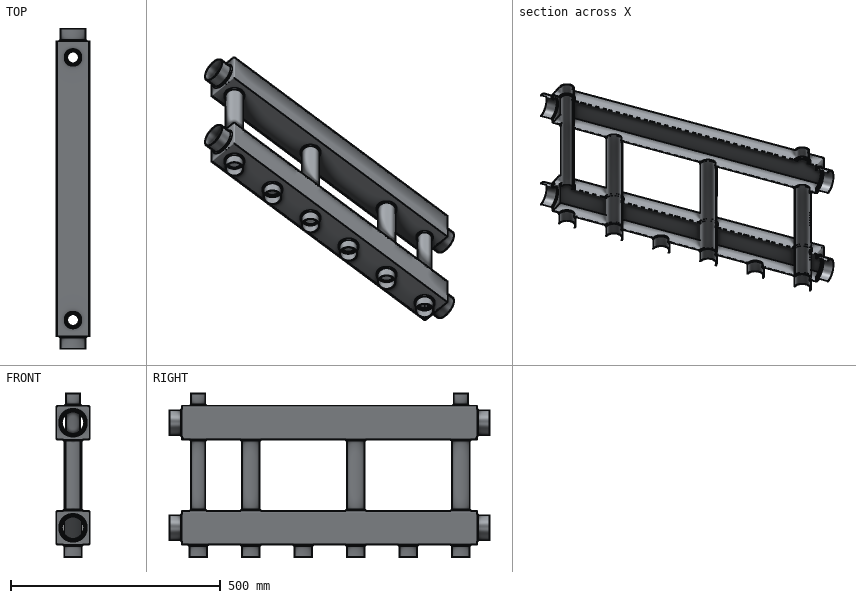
import cadquery as cq
overall_length = 763.0
overall_height = 390.0
header_spacing = 250.0
end_stub_length = 30.0
outlet_pitch = 125.0
outlet_count = 6

header_size = 81.0
long_edge_radius = 4.5
end_edge_radius = 2.0
wall = 3.0

END_PIPE = (60.0, 53.0, 57.0)
OUTLET_PIPE = (43.0, 37.0, 40.0)
INLET_PIPE = (34.0, 27.5, 30.0)

weld_leg = 3.0

header_length = overall_length - 2 * end_stub_length
half_header = header_size / 2
upper_z = header_spacing / 2
lower_z = -upper_z
upper_top = upper_z + half_header
upper_bottom = upper_z - half_header
lower_top = lower_z + half_header
lower_bottom = lower_z - half_header
top_end = overall_height / 2
bottom_end = -top_end

first_outlet_y = outlet_pitch * (outlet_count - 1) / 2
outlet_ys = [first_outlet_y - i * outlet_pitch for i in range(outlet_count)]
riser_ys = outlet_ys[0::2]
direct_ys = outlet_ys[1::2]
short_inlet_y = outlet_ys[0]
crossing_inlet_y = outlet_ys[-1]

UP = cq.Vector(0, 0, 1)
DOWN = cq.Vector(0, 0, -1)
HEADER_FACES = [(upper_top, UP), (upper_bottom, DOWN), (lower_top, UP), (lower_bottom, DOWN)]


def header(z):
    """One hollow header centred at height z."""
    shell = cq.Workplane("XY").box(header_size, header_length, header_size)
    shell = shell.edges("|Y").fillet(long_edge_radius)
    shell = shell.faces("<Y or >Y").fillet(end_edge_radius)
    cavity_width = header_size - 2 * wall
    cavity_length = header_length - 2 * wall
    cavity = cq.Workplane("XY").box(cavity_width, cavity_length, cavity_width)
    return shell.cut(cavity).translate((0, 0, z))


def centre_point(y, z):
    """Point on the plane of symmetry X = 0."""
    return cq.Vector(0, y, z)


def rod(diameter, start, end):
    """Cylinder between two points."""
    axis = end - start
    return cq.Workplane(cq.Solid.makeCylinder(diameter / 2, axis.Length, start, axis))


def weld(diameter, base, direction):
    """Conical bead standing on a header face around a pipe."""
    radius = diameter / 2
    return cq.Workplane(cq.Solid.makeCone(radius + weld_leg, radius, weld_leg, base, direction))


vertical_pipes = []
for y in riser_ys:
    vertical_pipes.append((OUTLET_PIPE, y, upper_bottom + wall, lower_bottom, bottom_end))
for y in direct_ys:
    vertical_pipes.append((OUTLET_PIPE, y, lower_bottom + wall, lower_bottom, bottom_end))
vertical_pipes.append((INLET_PIPE, short_inlet_y, upper_top - wall, upper_top, top_end))
vertical_pipes.append((INLET_PIPE, crossing_inlet_y, lower_top - wall, upper_top, top_end))

pipes = []
welds = []
for size, y, inner_z, face_z, open_z in vertical_pipes:
    pipes.append((size, centre_point(y, inner_z), centre_point(y, face_z), centre_point(y, open_z)))
    for bead_z, direction in HEADER_FACES:
        if min(inner_z, open_z) < bead_z < max(inner_z, open_z):
            welds.append((size[0], centre_point(y, bead_z), direction))

for z in (upper_z, lower_z):
    for side in (1, -1):
        face = centre_point(side * header_length / 2, z)
        inner = centre_point(side * (header_length / 2 - wall), z)
        tip = centre_point(side * overall_length / 2, z)
        pipes.append((END_PIPE, inner, face, tip))
        welds.append((END_PIPE[0], face, cq.Vector(0, side, 0)))

body = header(upper_z).union(header(lower_z))
for (outer, bore, stub_bore), inner, face, tip in pipes:
    body = body.union(rod(outer, inner, tip))
for diameter, base, direction in welds:
    body = body.union(weld(diameter, base, direction))
for (outer, bore, stub_bore), inner, face, tip in pipes:
    body = body.cut(rod(bore, inner, tip))
    body = body.cut(rod(stub_bore, face, tip))

result = body